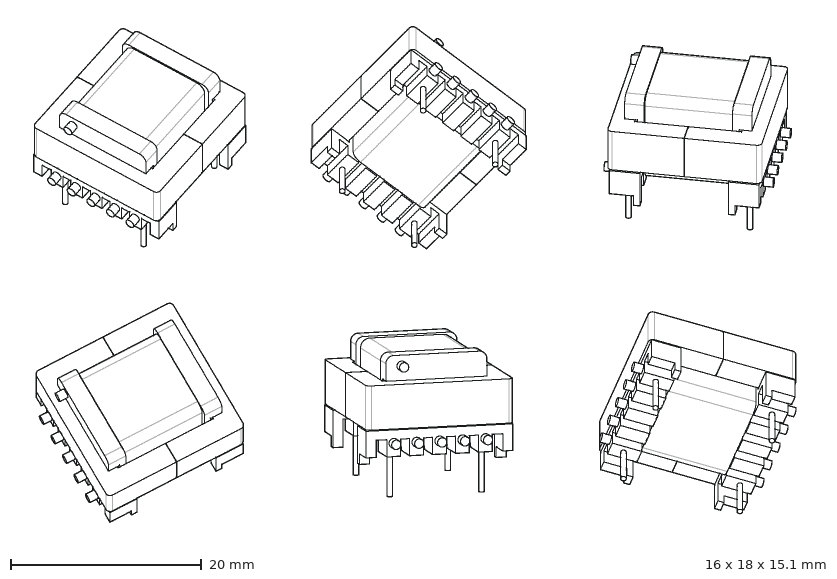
import cadquery as cq


FRONT, BACK = -1, 1
SIDES = (FRONT, BACK)

core_width = 16.0
core_half_length = 8.2
core_height = 4.72
core_corner_radius = 0.5
core_gap = 0.04
window_width = 11.23
window_half_length = 5.7
center_leg_width = 4.72

bore_half = 2.5
winding_half = 5.0
winding_radius = 1.0
flange_width = 11.02
flange_inner_y = 4.72
flange_outer_y = 5.42
flange_top_z = 5.2
flange_radius = 0.83

lead_block_outer_y = 6.79
lead_x = -3.8
lead_z = 4.07
lead_tip_y = 7.75

base_width = core_width
base_outer_y = 8.0
base_top_z = -bore_half
beam_bottom_z = -3.51
base_bottom_z = -5.35
end_leg_width = 1.1
foot_bottom_z = -6.5
terminal_count = 5
terminal_pitch = 2.5
pad_width = 1.51

stub_diameter = 1.0
stub_z = -3.9
stub_tip_y = 9.0
pin_diameter = 0.6
pin_bottom_z = -9.85
pin_y = 6.48

terminal_span = (terminal_count - 1) * terminal_pitch
terminal_xs = [i * terminal_pitch - terminal_span / 2 for i in range(terminal_count)]
pin_xs = (terminal_xs[0], terminal_xs[-1])


def box_between(x_range, y_range, z_range):
    """Box filling the given ranges; the two ends of a range may come in either order."""
    lows, highs = zip(*(sorted(ends) for ends in (x_range, y_range, z_range)))
    sizes = [high - low for low, high in zip(lows, highs)]
    return cq.Workplane("XY").box(*sizes, centered=False).translate(lows)


def centered_box(width, y_range, z_range):
    """Box with the given width, centred on X = 0."""
    return box_between((-width / 2, width / 2), y_range, z_range)


def stub_along_y(x, z, start_y, tip_y):
    """Round wire stub that runs along Y."""
    direction = cq.Vector(0, tip_y - start_y, 0)
    stub = cq.Solid.makeCylinder(stub_diameter / 2, direction.Length, cq.Vector(x, start_y, z), direction)
    return cq.Workplane(obj=stub)


def make_core_half(side):
    """E-shaped core half: a back wall with two outer legs and a centre leg."""
    z_range = (-core_height / 2, core_height / 2)
    joint_y = side * core_gap / 2
    window_y = side * window_half_length
    outline = centered_box(core_width, (joint_y, side * core_half_length), z_range)
    outer_face = ">Y" if side == BACK else "<Y"
    outline = outline.faces(outer_face).edges("|Z").fillet(core_corner_radius)
    window = centered_box(window_width, (joint_y, window_y), z_range)
    center_leg = centered_box(center_leg_width, (joint_y, window_y), z_range)
    return outline.cut(window).union(center_leg)


def make_winding():
    """Block of wire between the flanges, with rounded long edges."""
    y_range = (-flange_inner_y, flange_inner_y)
    winding = centered_box(2 * winding_half, y_range, (-winding_half, winding_half))
    return winding.edges("|Y").fillet(winding_radius)


def make_flange(side):
    """Flange plate and the lead block on its outer face, sharing one rounded top."""
    inner_y = side * flange_inner_y
    plate = centered_box(flange_width, (inner_y, side * flange_outer_y), (base_top_z, flange_top_z))
    block = centered_box(flange_width, (inner_y, side * lead_block_outer_y), (bore_half, flange_top_z))
    return plate.union(block).edges("|Y and >Z").fillet(flange_radius)


def make_base(side):
    """Terminal base: a beam with an end leg and foot at each side and five pads between."""
    inner_y = side * flange_inner_y
    y_range = (inner_y, side * base_outer_y)
    foot_y_range = (inner_y, side * flange_outer_y)
    half_width = base_width / 2
    base = centered_box(base_width, y_range, (beam_bottom_z, base_top_z))
    for x_sign in (-1, 1):
        leg_x_range = (x_sign * (half_width - end_leg_width), x_sign * half_width)
        base = base.union(box_between(leg_x_range, y_range, (base_bottom_z, base_top_z)))
        base = base.union(box_between(leg_x_range, foot_y_range, (foot_bottom_z, base_top_z)))
    for x in terminal_xs:
        pad_x_range = (x - pad_width / 2, x + pad_width / 2)
        base = base.union(box_between(pad_x_range, y_range, (base_bottom_z, base_top_z)))
    return base


def make_terminals(side):
    """Five wire stubs on the outer face of the base and two solder pins below it."""
    stubs = [stub_along_y(x, stub_z, side * base_outer_y, side * stub_tip_y) for x in terminal_xs]
    pins = (
        cq.Workplane("XY", origin=(0, side * pin_y, base_bottom_z))
        .pushPoints([(x, 0) for x in pin_xs])
        .circle(pin_diameter / 2)
        .extrude(pin_bottom_z - base_bottom_z, combine=False)
    )
    return [*stubs, pins]


def make_bobbin():
    """Winding, flanges, bases and terminals as one solid with a square bore for the core."""
    bobbin = make_winding()
    for side in SIDES:
        bobbin = bobbin.union(make_flange(side)).union(make_base(side))
        for terminal in make_terminals(side):
            bobbin = bobbin.union(terminal)
    bobbin = bobbin.union(stub_along_y(lead_x, lead_z, -lead_block_outer_y, -lead_tip_y))
    bore_y_range = (-flange_outer_y, flange_outer_y)
    return bobbin.cut(centered_box(2 * bore_half, bore_y_range, (-bore_half, bore_half)))


bobbin = make_bobbin()
core_halves = [make_core_half(side) for side in SIDES]

result = cq.Compound.makeCompound([bobbin.val(), *(half.val() for half in core_halves)])